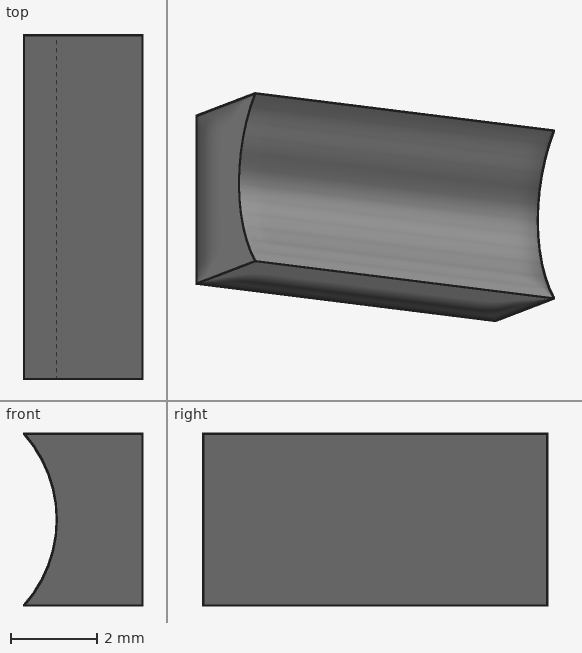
import cadquery as cq
import math

length = 8.0
height = 4.0
groove_radius = 3.0
wall_thickness = 2.0

half_height = height / 2
edge_x = math.sqrt(groove_radius**2 - half_height**2)
back_x = groove_radius + wall_thickness


def saddle_block():
    """Block with a concave cylindrical face on -X, centred on the groove axis."""
    profile = (
        cq.Workplane("XZ")
        .moveTo(edge_x, -half_height)
        .lineTo(back_x, -half_height)
        .lineTo(back_x, half_height)
        .lineTo(edge_x, half_height)
        .threePointArc((groove_radius, 0), (edge_x, -half_height))
        .close()
    )
    return profile.extrude(length / 2, both=True)


result = saddle_block()